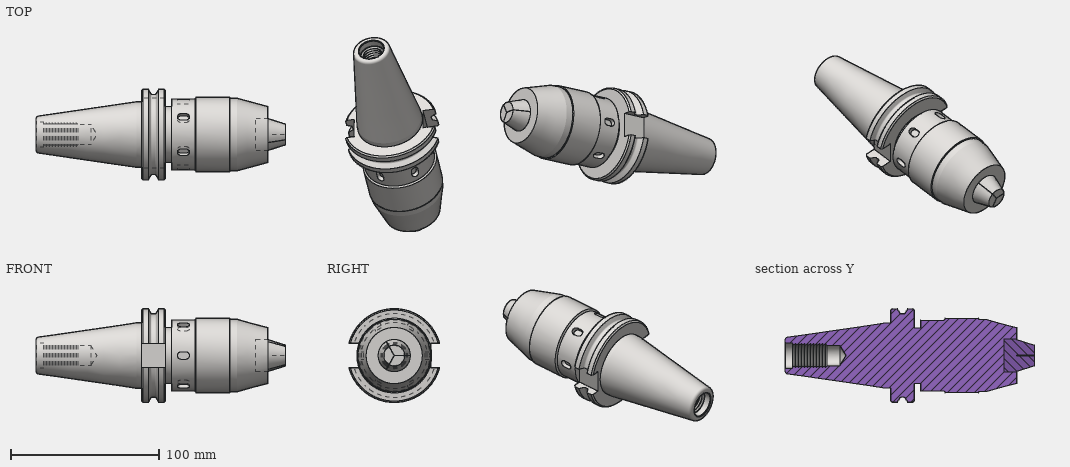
import cadquery as cq
import math

SHANK_END_ROUND = 2.0
TAPER_DIAMETER = 44.5
TAPER_LENGTH = 68.0
TAPER_RATIO = 7 / 24
SHANK_END_DIAMETER = TAPER_DIAMETER - TAPER_RATIO * TAPER_LENGTH

FLANGE_START = 71.2
FLANGE_END = 87.3
FLANGE_DIAMETER = 63.5
FLANGE_CHAMFER = 1.0
GROOVE_CENTRE = 79.2
GROOVE_FLOOR_DIAMETER = 56.5
GROOVE_FLOOR_WIDTH = 3.0
GROOVE_HALF_ANGLE = 30.0
GROOVE_ROUND = 0.8
KEYWAY_WIDTH = 16.3
KEYWAY_FLOOR_FRONT = 22.5
KEYWAY_FLOOR_BACK = 24.7

NECK_DIAMETER = 37.9
COLLAR_START = 91.5
COLLAR_DIAMETER = 48.0
SLEEVE_START = 107.2
SLEEVE_DIAMETER = 50.5
SLEEVE_END = 130.9
SLEEVE_REAR_CHAMFER = 0.8
SLEEVE_FRONT_CHAMFER = 0.3
FRONT_RING_DIAMETER = 49.0
FRONT_CONE_START = 135.8
FRONT_FACE = 156.3
FRONT_FACE_DIAMETER = 37.9

SPANNER_SLOT_COUNT = 6
SPANNER_SLOT_LENGTH = 8.0
SPANNER_SLOT_WIDTH = 5.0
SPANNER_SLOT_DEPTH = 3.4
SPANNER_SLOT_CENTRE = 99.5

COUNTERBORE_DIAMETER = 16.8
COUNTERBORE_DEPTH = 5.0
COUNTERBORE_CHAMFER = 0.5
THREAD_MINOR_DIAMETER = 13.5
THREAD_MAJOR_DIAMETER = 15.8
THREAD_PITCH = 2.0
THREAD_TURNS = 12
HOLE_DEPTH = 37.0
HOLE_TIP_ANGLE = 118.0

NOSE_TIP = 168.2
NOSE_TIP_DIAMETER = 14.1
NOSE_BASE_DIAMETER = 21.7
NOSE_SEAT_DEPTH = 8.4
JAW_COUNT = 3
JAW_GAP = 0.2


def revolve_about_x(profile):
    """Turn a closed (x, radius) outline about the X axis."""
    return profile.close().revolve(360, (0, 0, 0), (1, 0, 0))


def turned_body():
    """Taper, flange, neck, collar and sleeve as one turned outline."""
    flange_radius = FLANGE_DIAMETER / 2
    sleeve_radius = SLEEVE_DIAMETER / 2
    body = revolve_about_x(
        cq.Workplane("XY")
        .moveTo(0, 0)
        .lineTo(0, SHANK_END_DIAMETER / 2)
        .lineTo(TAPER_LENGTH, TAPER_DIAMETER / 2)
        .lineTo(FLANGE_START, TAPER_DIAMETER / 2)
        .lineTo(FLANGE_START, flange_radius - FLANGE_CHAMFER)
        .lineTo(FLANGE_START + FLANGE_CHAMFER, flange_radius)
        .lineTo(FLANGE_END - FLANGE_CHAMFER, flange_radius)
        .lineTo(FLANGE_END, flange_radius - FLANGE_CHAMFER)
        .lineTo(FLANGE_END, NECK_DIAMETER / 2)
        .lineTo(COLLAR_START, NECK_DIAMETER / 2)
        .lineTo(COLLAR_START, COLLAR_DIAMETER / 2)
        .lineTo(SLEEVE_START, COLLAR_DIAMETER / 2)
        .lineTo(SLEEVE_START + SLEEVE_REAR_CHAMFER, sleeve_radius)
        .lineTo(SLEEVE_END - SLEEVE_FRONT_CHAMFER, sleeve_radius)
        .lineTo(SLEEVE_END, FRONT_RING_DIAMETER / 2)
        .lineTo(FRONT_CONE_START, FRONT_RING_DIAMETER / 2)
        .lineTo(FRONT_FACE, FRONT_FACE_DIAMETER / 2)
        .lineTo(FRONT_FACE, 0)
    )
    return body.faces("<X").edges().fillet(SHANK_END_ROUND)


def gripper_groove():
    """V-groove with a flat floor around the flange."""
    flange_radius = FLANGE_DIAMETER / 2
    floor_radius = GROOVE_FLOOR_DIAMETER / 2
    half_floor = GROOVE_FLOOR_WIDTH / 2
    flare = (flange_radius - floor_radius) * math.tan(math.radians(GROOVE_HALF_ANGLE))
    groove = revolve_about_x(
        cq.Workplane("XY")
        .moveTo(GROOVE_CENTRE - half_floor, floor_radius)
        .lineTo(GROOVE_CENTRE + half_floor, floor_radius)
        .lineTo(GROOVE_CENTRE + half_floor + flare, flange_radius)
        .lineTo(GROOVE_CENTRE - half_floor - flare, flange_radius)
    )
    floor_edges = cq.selectors.RadiusNthSelector(0)
    return groove.edges(floor_edges).fillet(GROOVE_ROUND)


def keyway(side, floor):
    """Drive keyway through the flange rim; side is -1 or +1 along Y."""
    length = FLANGE_END - FLANGE_START
    return (
        cq.Workplane("XY")
        .box(length, FLANGE_DIAMETER, KEYWAY_WIDTH)
        .translate((FLANGE_START + length / 2, side * (floor + FLANGE_DIAMETER / 2), 0))
    )


def spanner_slot(angle):
    """Flat-bottomed radial slot, turned from -Y about the axis."""
    floor = COLLAR_DIAMETER / 2 - SPANNER_SLOT_DEPTH
    return (
        cq.Workplane("XZ", origin=(SPANNER_SLOT_CENTRE, -floor, 0))
        .slot2D(SPANNER_SLOT_LENGTH, SPANNER_SLOT_WIDTH)
        .extrude(2 * SPANNER_SLOT_DEPTH)
        .rotate((0, 0, 0), (1, 0, 0), angle)
    )


def stud_hole():
    """Counterbored hole with ring-shaped thread grooves and a drill-point end."""
    counterbore = COUNTERBORE_DIAMETER / 2
    minor = THREAD_MINOR_DIAMETER / 2
    major = THREAD_MAJOR_DIAMETER / 2
    tip_length = minor / math.tan(math.radians(HOLE_TIP_ANGLE / 2))
    profile = (
        cq.Workplane("XY")
        .moveTo(0, 0)
        .lineTo(0, counterbore + COUNTERBORE_CHAMFER)
        .lineTo(COUNTERBORE_CHAMFER, counterbore)
        .lineTo(COUNTERBORE_DEPTH, counterbore)
    )
    for turn in range(THREAD_TURNS):
        root = COUNTERBORE_DEPTH + turn * THREAD_PITCH
        profile = (
            profile
            .lineTo(root, major)
            .lineTo(root + THREAD_PITCH / 2, minor)
        )
    return revolve_about_x(
        profile.lineTo(HOLE_DEPTH, minor).lineTo(HOLE_DEPTH + tip_length, 0)
    )


def nose_blank():
    """Conical nose with a cylindrical seat inside the chuck."""
    return revolve_about_x(
        cq.Workplane("XY")
        .moveTo(FRONT_FACE - NOSE_SEAT_DEPTH, 0)
        .lineTo(FRONT_FACE - NOSE_SEAT_DEPTH, NOSE_BASE_DIAMETER / 2)
        .lineTo(FRONT_FACE, NOSE_BASE_DIAMETER / 2)
        .lineTo(NOSE_TIP, NOSE_TIP_DIAMETER / 2)
        .lineTo(NOSE_TIP, 0)
    )


def jaw_gap(angle):
    """Thin radial gap between neighbouring jaws, turned from +Y about the axis."""
    length = NOSE_TIP - FRONT_FACE
    return (
        cq.Workplane("XY")
        .box(length, NOSE_BASE_DIAMETER, JAW_GAP)
        .translate((FRONT_FACE + length / 2, NOSE_BASE_DIAMETER / 2, 0))
        .rotate((0, 0, 0), (1, 0, 0), angle)
    )


def make_chuck_body():
    body = turned_body().cut(gripper_groove()).cut(stud_hole())
    body = body.cut(keyway(-1, KEYWAY_FLOOR_FRONT)).cut(keyway(1, KEYWAY_FLOOR_BACK))
    for index in range(SPANNER_SLOT_COUNT):
        body = body.cut(spanner_slot(index * 360 / SPANNER_SLOT_COUNT))
    return body.cut(nose_blank())


def make_jaw_nose():
    nose = nose_blank()
    for index in range(JAW_COUNT):
        nose = nose.cut(jaw_gap(index * 360 / JAW_COUNT))
    return nose


chuck_body = make_chuck_body()
jaw_nose = make_jaw_nose()
result = cq.Compound.makeCompound([chuck_body.val(), jaw_nose.val()])